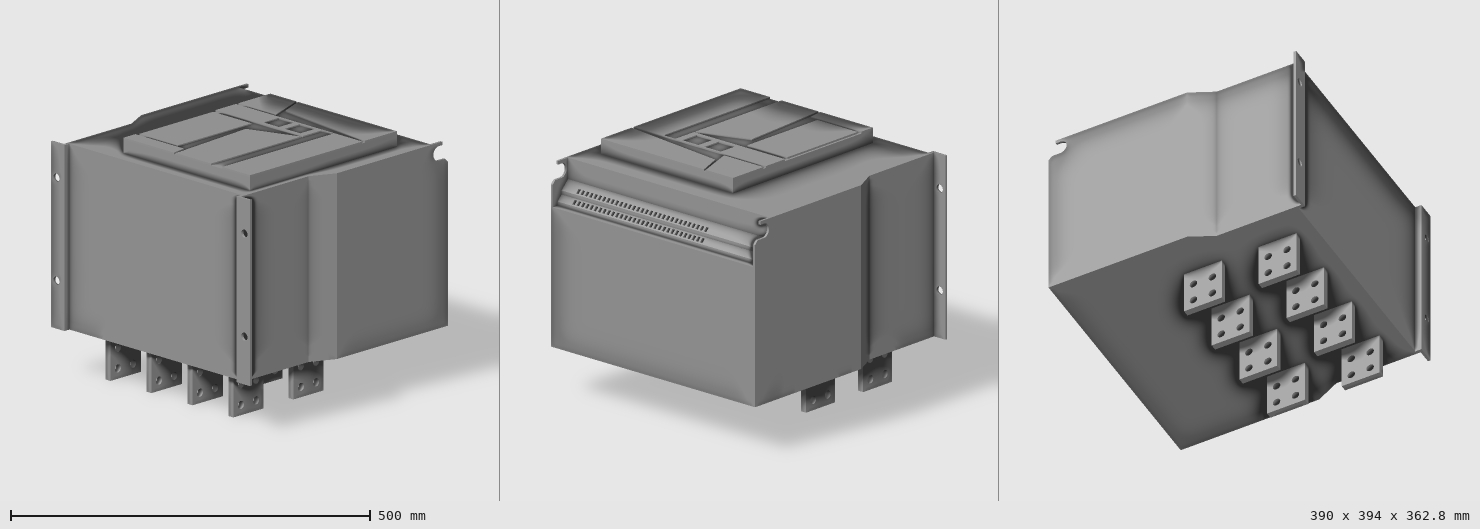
import cadquery as cq

DEPTH = 394.0
FLANGE_WIDTH = 390.0
BODY_HEIGHT = 270.5
REAR = DEPTH / 2
FRONT = -DEPTH / 2

REAR_WIDTH = 383.8
FRONT_WIDTH = 347.5
TAPER_START = REAR - 219.5
TAPER_END = REAR - 256.5
FLANGE_THICKNESS = 4.0
BRACKET_WALL = 5.0
FRONT_SETBACK = 10.0

HOLE_DIAMETER = 12.0
FLANGE_HOLE_INSET = 10.5
FLANGE_HOLE_TOP = BODY_HEIGHT - 51.0
FLANGE_HOLE_PITCH = 150.0

SIDE_PLATE = 3.5
RECESS_LENGTH = 32.0
RECESS_WALL = 31.5
UPPER_SLOPE_RUN = 13.5
LOWER_SLOPE_RUN = 8.3
STEP_DROP = 6.0

TERMINAL_COUNT = 31
TERMINAL_ROW = 240.0
TERMINAL_PITCH = TERMINAL_ROW / (TERMINAL_COUNT - 1)
TERMINAL_WIDTH = 4.5
TERMINAL_LENGTH = 7.0
TERMINAL_DEPTH = 6.0
UPPER_TERMINAL_Y = 9.5

NOTCH_RADIUS = 10.5
NOTCH_LENGTH = 28.8
NOTCH_ROOF = 5.0
NOTCH_CHAMFER = 5.5
HORN_SETBACK = 11.5

BUSBAR_COUNT = 4
BUSBAR_PITCH = 80.5
BUSBAR_THICKNESS = 10.0
BUSBAR_WIDTH = 60.0
BUSBAR_DROP = 69.5
BUSBAR_CENTERS_Y = (-11.5, -129.5)
BUSBAR_HOLE_PITCH = 30.0
BUSBAR_HOLE_RISE = 15.0

PANEL_LEFT = -84.0
PANEL_FRONT = FRONT + 31.5
PANEL_WIDTH = 248.2
PANEL_LENGTH = 289.0
PANEL_HEIGHT = 20.0
PLATE_HEIGHT = 2.8
PLATE_DRAFT = 1.0


def box(x0, x1, y0, y1, z0, z1):
    """Axis-aligned block between two opposite corners."""
    return cq.Workplane("XY").box(x1 - x0, y1 - y0, z1 - z0, centered=False).translate((x0, y0, z0))


def housing():
    """Tapered housing with a bent mounting flange at each front corner."""
    outer = FLANGE_WIDTH / 2
    wide = REAR_WIDTH / 2
    narrow = FRONT_WIDTH / 2
    inner = narrow - BRACKET_WALL
    flange_back = FRONT + FLANGE_THICKNESS
    front_wall = FRONT + FRONT_SETBACK
    right_half = [
        (0, REAR),
        (wide, REAR),
        (wide, TAPER_START),
        (narrow, TAPER_END),
        (narrow, flange_back),
        (outer, flange_back),
        (outer, FRONT),
        (inner, FRONT),
        (inner, front_wall),
        (0, front_wall),
    ]
    return cq.Workplane("XY").polyline(right_half).mirrorY().extrude(BODY_HEIGHT)


def flange_holes():
    """Two through holes in each mounting flange."""
    x = FLANGE_WIDTH / 2 - FLANGE_HOLE_INSET
    low = FLANGE_HOLE_TOP - FLANGE_HOLE_PITCH
    points = [(side * x, z) for side in (-1, 1) for z in (low, FLANGE_HOLE_TOP)]
    plane = cq.Workplane("XZ", origin=(0, FRONT, 0))
    return plane.pushPoints(points).circle(HOLE_DIAMETER / 2).extrude(-FLANGE_THICKNESS)


UPPER_SLOPE_Y = REAR - RECESS_LENGTH
LOWER_SLOPE_Y = UPPER_SLOPE_Y + UPPER_SLOPE_RUN
FLOOR_Y = LOWER_SLOPE_Y + LOWER_SLOPE_RUN
UPPER_SLOPE_Z = BODY_HEIGHT - RECESS_WALL
LOWER_SLOPE_Z = UPPER_SLOPE_Z - UPPER_SLOPE_RUN - STEP_DROP
FLOOR_Z = LOWER_SLOPE_Z - LOWER_SLOPE_RUN - STEP_DROP


def terminal_recess():
    """Recess open at the top and rear, stepping down over two 45 degree slopes."""
    width = REAR_WIDTH - 2 * SIDE_PLATE
    profile = [
        (UPPER_SLOPE_Y, BODY_HEIGHT),
        (UPPER_SLOPE_Y, UPPER_SLOPE_Z),
        (LOWER_SLOPE_Y, UPPER_SLOPE_Z - UPPER_SLOPE_RUN),
        (LOWER_SLOPE_Y, LOWER_SLOPE_Z),
        (FLOOR_Y, LOWER_SLOPE_Z - LOWER_SLOPE_RUN),
        (FLOOR_Y, FLOOR_Z),
        (REAR, FLOOR_Z),
        (REAR, BODY_HEIGHT),
    ]
    return cq.Workplane("YZ").polyline(profile).close().extrude(width / 2, both=True)


def wire_entries(y, z):
    """Row of rectangular pockets square to a slope, centred on (y, z) and on the panel width."""
    slope = cq.Plane(origin=(PANEL_LEFT + PANEL_WIDTH / 2, y, z), xDir=(1, 0, 0), normal=(0, 1, 1))
    row = cq.Workplane(slope).rarray(TERMINAL_PITCH, 4, TERMINAL_COUNT, 1)
    return row.rect(TERMINAL_WIDTH, TERMINAL_LENGTH).extrude(-TERMINAL_DEPTH)


def side_notch():
    """Round-ended notch through both side plates, with a set-back horn above it."""
    roof = BODY_HEIGHT - NOTCH_ROOF
    middle = roof - NOTCH_RADIUS
    floor = middle - NOTCH_RADIUS
    arc_y = REAR - NOTCH_LENGTH + NOTCH_RADIUS
    horn_y = REAR - HORN_SETBACK
    profile = (
        cq.Workplane("YZ")
        .moveTo(horn_y, BODY_HEIGHT)
        .lineTo(horn_y, roof)
        .lineTo(arc_y, roof)
        .threePointArc((REAR - NOTCH_LENGTH, middle), (arc_y, floor))
        .lineTo(REAR - NOTCH_CHAMFER, floor)
        .lineTo(REAR, floor - NOTCH_CHAMFER)
        .lineTo(REAR, BODY_HEIGHT)
        .close()
    )
    return profile.extrude(REAR_WIDTH / 2, both=True)


def busbar(x, y):
    """Flat bar hanging from the housing, drilled with a square of four holes."""
    half = BUSBAR_THICKNESS / 2
    bar = box(x - half, x + half, y - BUSBAR_WIDTH / 2, y + BUSBAR_WIDTH / 2, -BUSBAR_DROP, 0)
    hole_z = -BUSBAR_DROP + BUSBAR_HOLE_RISE + BUSBAR_HOLE_PITCH / 2
    holes = (
        cq.Workplane("YZ", origin=(x, y, hole_z))
        .rarray(BUSBAR_HOLE_PITCH, BUSBAR_HOLE_PITCH, 2, 2)
        .circle(HOLE_DIAMETER / 2)
        .extrude(half, both=True)
    )
    return bar.cut(holes)


PLATE_PLANE = cq.Workplane("XY", origin=(PANEL_LEFT, PANEL_FRONT, BODY_HEIGHT + PANEL_HEIGHT))
BAND_FRONT = 226.0
STRIP_REAR = 221.5
STRIP_FRONT = 181.2
SLOT_LEFT = 171.5
SLOT_RIGHT = 193.5
SLOT_REAR = 220.0
SLOT_CORNER = 2.0
WINDOW_SIZE = 30.5
WINDOW_FRONT = 187.5
WINDOW_LEFTS = (88.0, 129.5)

REAR_LEFT_PLATE = [(0, BAND_FRONT), (74.0, BAND_FRONT), (51.2, PANEL_LENGTH), (0, PANEL_LENGTH)]
REAR_RIGHT_PLATE = [
    (54.5, PANEL_LENGTH),
    (71.0, 248.0),
    (PANEL_WIDTH, BAND_FRONT),
    (PANEL_WIDTH, PANEL_LENGTH),
]
DISPLAY_PLATE = [(3.0, 28.0), (78.8, 28.0), (78.8, 173.0), (3.0, 173.0)]
CORNER_PLATE = [(0, 0), (99.0, 0), (95.5, 23.2), (0, 23.2)]
COVER_PLATE = [(102.0, 0), (SLOT_LEFT, 0), (SLOT_LEFT, 177.5), (91.5, 149.0)]
STRIP_PLATE = [
    (0, STRIP_FRONT),
    (SLOT_LEFT, STRIP_FRONT),
    (SLOT_LEFT, SLOT_REAR - SLOT_CORNER),
    (SLOT_LEFT + SLOT_CORNER, SLOT_REAR),
    (SLOT_RIGHT - SLOT_CORNER, SLOT_REAR),
    (SLOT_RIGHT, SLOT_REAR - SLOT_CORNER),
    (SLOT_RIGHT, 0),
    (PANEL_WIDTH, 0),
    (PANEL_WIDTH, STRIP_REAR),
    (0, STRIP_REAR),
]
PLATES = (REAR_LEFT_PLATE, REAR_RIGHT_PLATE, DISPLAY_PLATE, CORNER_PLATE, COVER_PLATE, STRIP_PLATE)


def control_panel():
    """Panel block carrying the raised plates, with two square windows in the strip."""
    panel = box(
        PANEL_LEFT,
        PANEL_LEFT + PANEL_WIDTH,
        PANEL_FRONT,
        PANEL_FRONT + PANEL_LENGTH,
        BODY_HEIGHT,
        BODY_HEIGHT + PANEL_HEIGHT,
    )
    for outline in PLATES:
        panel = panel.union(PLATE_PLANE.polyline(outline).close().extrude(PLATE_HEIGHT, taper=PLATE_DRAFT))
    window_centers = [(left + WINDOW_SIZE / 2, WINDOW_FRONT + WINDOW_SIZE / 2) for left in WINDOW_LEFTS]
    windows = PLATE_PLANE.pushPoints(window_centers).rect(WINDOW_SIZE, WINDOW_SIZE)
    return panel.cut(windows.extrude(PLATE_HEIGHT))


result = housing().cut(flange_holes()).cut(terminal_recess()).cut(side_notch())
result = result.cut(wire_entries(UPPER_SLOPE_Y + UPPER_TERMINAL_Y, UPPER_SLOPE_Z - UPPER_TERMINAL_Y))
lower_middle = LOWER_SLOPE_RUN / 2
result = result.cut(wire_entries(LOWER_SLOPE_Y + lower_middle, LOWER_SLOPE_Z - lower_middle))
for bar_index in range(BUSBAR_COUNT):
    bar_x = (bar_index - (BUSBAR_COUNT - 1) / 2) * BUSBAR_PITCH
    for bar_y in BUSBAR_CENTERS_Y:
        result = result.union(busbar(bar_x, bar_y))
result = result.union(control_panel())